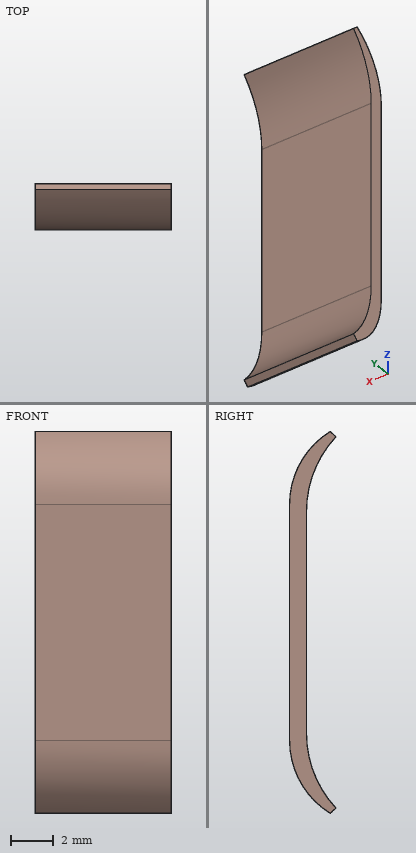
import cadquery as cq
import math

width = 6.35
height = 17.78
depth = 2.17

thickness = 0.8
outer_flat_length = 10.98
inner_radius = 5.08
tip_drop = 0.25
tip_run = 0.27

front_y = -depth / 2
back_y = front_y + thickness
inner_tip_y = depth / 2
outer_tip_y = inner_tip_y - tip_run

outer_tip_z = height / 2
inner_tip_z = outer_tip_z - tip_drop
outer_tangent_z = outer_flat_length / 2

outer_rise = outer_tip_z - outer_tangent_z
outer_offset = outer_tip_y - front_y
outer_radius = (outer_rise**2 + outer_offset**2) / (2 * outer_offset)
inner_offset = inner_tip_y - back_y
inner_rise = math.sqrt(2 * inner_radius * inner_offset - inner_offset**2)
inner_tangent_z = inner_tip_z - inner_rise


def arc_middle(face_y, tangent_z, radius, rise):
    """Midpoint of a curl that leaves the flat face at tangent_z."""
    half_angle = math.asin(rise / radius) / 2
    y = face_y + radius * (1 - math.cos(half_angle))
    z = tangent_z + radius * math.sin(half_angle)
    return y, z


outer_mid_y, outer_mid_z = arc_middle(front_y, outer_tangent_z, outer_radius, outer_rise)
inner_mid_y, inner_mid_z = arc_middle(back_y, inner_tangent_z, inner_radius, inner_rise)

result = (
    cq.Workplane("YZ")
    .moveTo(front_y, -outer_tangent_z)
    .lineTo(front_y, outer_tangent_z)
    .threePointArc((outer_mid_y, outer_mid_z), (outer_tip_y, outer_tip_z))
    .lineTo(inner_tip_y, inner_tip_z)
    .threePointArc((inner_mid_y, inner_mid_z), (back_y, inner_tangent_z))
    .lineTo(back_y, -inner_tangent_z)
    .threePointArc((inner_mid_y, -inner_mid_z), (inner_tip_y, -inner_tip_z))
    .lineTo(outer_tip_y, -outer_tip_z)
    .threePointArc((outer_mid_y, -outer_mid_z), (front_y, -outer_tangent_z))
    .close()
    .extrude(width / 2, both=True)
)